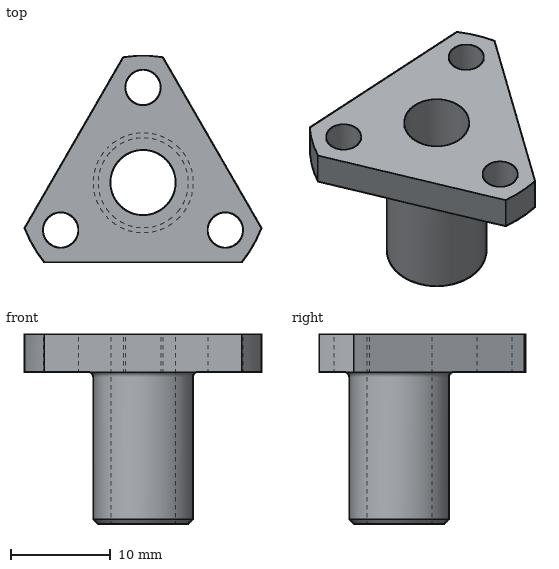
import cadquery as cq
import math

overall_width = 23.72
flat_distance = 8.0
flange_thickness = 3.8
overall_height = 19.0

sleeve_diameter = 10.0
bore_diameter = 6.5
end_chamfer = 0.5
root_fillet = 0.5

corner_count = 3
hole_diameter = 3.5
hole_circle_radius = 9.5

half_flat = overall_width - 2 * flat_distance * math.cos(math.radians(30))
corner_radius = math.hypot(flat_distance, half_flat)
sleeve_length = overall_height - flange_thickness


def make_flange():
    """Triangular plate with its corners trimmed to a circle."""
    triangle_diameter = 2 * (2 * flat_distance)
    triangle = (
        cq.Workplane("XY")
        .workplane(offset=sleeve_length)
        .transformed(rotate=(0, 0, 90))
        .polygon(corner_count, triangle_diameter)
        .extrude(flange_thickness)
    )
    disc = (
        cq.Workplane("XY")
        .workplane(offset=sleeve_length)
        .circle(corner_radius)
        .extrude(flange_thickness)
    )
    return triangle.intersect(disc)


def make_sleeve():
    """Round sleeve with a chamfered lower end."""
    sleeve = cq.Workplane("XY").circle(sleeve_diameter / 2).extrude(sleeve_length)
    return sleeve.faces("<Z").edges().chamfer(end_chamfer)


body = make_flange().union(make_sleeve())

underside = body.faces("|Z").faces("<Z[1]")
body = underside.edges("%CIRCLE").edges(cq.selectors.RadiusNthSelector(0)).fillet(root_fillet)

bore = cq.Workplane("XY").circle(bore_diameter / 2).extrude(overall_height)
mounting_holes = (
    cq.Workplane("XY")
    .polarArray(hole_circle_radius, 90, 360, corner_count)
    .circle(hole_diameter / 2)
    .extrude(overall_height)
)
result = body.cut(bore).cut(mounting_holes)